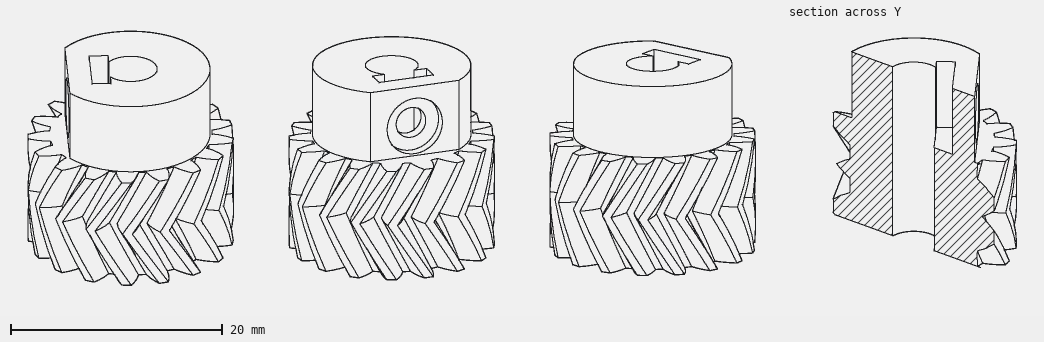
import cadquery as cq
import math

TOOTH_COUNT = 17
TIP_RADIUS = 9.73
MID_RADIUS = 8.8
ROOT_RADIUS = 7.7
TIP_HALF_ANGLE = 2.7
MID_HALF_ANGLE = 5.45
ROOT_HALF_ANGLE = 7.85
FIRST_TOOTH_ANGLE = 3.43
GEAR_HEIGHT = 11.0
HALF_GEAR_HEIGHT = GEAR_HEIGHT / 2
HELIX_ANGLE = 30.0
TWIST_ANGLE = math.degrees(HALF_GEAR_HEIGHT * math.tan(math.radians(HELIX_ANGLE)) / MID_RADIUS)

HUB_RADIUS = 7.5
TOTAL_HEIGHT = 18.0
HUB_HEIGHT = TOTAL_HEIGHT - GEAR_HEIGHT
FLAT_DISTANCE = 6.0
FLAT_DIRECTION = 215.3

BORE_RADIUS = 2.5
BORE_FLAT_DISTANCE = 2.0

SLOT_WIDTH = 5.5
SLOT_THICKNESS = 1.8

SCREW_HEIGHT = 14.0
SCREW_DIAMETER = 3.0
COUNTERBORE_DIAMETER = 5.6
COUNTERBORE_DEPTH = 1.0


def polar(radius, degrees):
    angle = math.radians(degrees)
    return (radius * math.cos(angle), radius * math.sin(angle))


def face_flat(body):
    """Turn a body built toward +X so that it points the way the flat faces."""
    return body.rotate((0, 0, 0), (0, 0, 1), FLAT_DIRECTION)


def block_along_x(start, length, width, bottom, height):
    """Block centred on the X axis, reaching from start to start + length."""
    return cq.Workplane("XY").box(length, width, height, centered=(False, True, False)).translate(
        (start, 0, bottom)
    )


def gear_outline():
    """Closed tooth outline with curved flanks and round tips and roots."""
    pitch = 360.0 / TOOTH_COUNT
    outline = cq.Workplane("XY").moveTo(*polar(ROOT_RADIUS, FIRST_TOOTH_ANGLE - ROOT_HALF_ANGLE))
    for index in range(TOOTH_COUNT):
        center = FIRST_TOOTH_ANGLE + index * pitch
        outline = outline.threePointArc(
            polar(MID_RADIUS, center - MID_HALF_ANGLE), polar(TIP_RADIUS, center - TIP_HALF_ANGLE)
        )
        outline = outline.threePointArc(
            polar(TIP_RADIUS, center), polar(TIP_RADIUS, center + TIP_HALF_ANGLE)
        )
        outline = outline.threePointArc(
            polar(MID_RADIUS, center + MID_HALF_ANGLE), polar(ROOT_RADIUS, center + ROOT_HALF_ANGLE)
        )
        outline = outline.threePointArc(
            polar(ROOT_RADIUS, center + pitch / 2),
            polar(ROOT_RADIUS, center + pitch - ROOT_HALF_ANGLE),
        )
    return outline.close()


def herringbone_gear():
    """Two mirrored helical halves that meet at mid height."""
    lower_half = gear_outline().twistExtrude(HALF_GEAR_HEIGHT, -TWIST_ANGLE)
    upper_half = lower_half.mirror("XY").translate((0, 0, GEAR_HEIGHT))
    return lower_half.union(upper_half)


def hub():
    """Round hub standing on the gear, cut by the clamping flat."""
    cylinder = cq.Workplane("XY").workplane(offset=GEAR_HEIGHT).circle(HUB_RADIUS).extrude(HUB_HEIGHT)
    beyond_flat = block_along_x(FLAT_DISTANCE, HUB_RADIUS, 2 * HUB_RADIUS, GEAR_HEIGHT, HUB_HEIGHT)
    return cylinder.cut(face_flat(beyond_flat))


def bore():
    """D-shaped bore through the whole part, its flat parallel to the hub flat."""
    cylinder = cq.Workplane("XY").circle(BORE_RADIUS).extrude(TOTAL_HEIGHT)
    beyond_flat = block_along_x(BORE_FLAT_DISTANCE, BORE_RADIUS, 2 * BORE_RADIUS, 0, TOTAL_HEIGHT)
    return cylinder.cut(face_flat(beyond_flat))


def nut_slot():
    """Slot behind the flat of the bore, as deep as the hub."""
    slot = block_along_x(BORE_FLAT_DISTANCE, SLOT_THICKNESS, SLOT_WIDTH, GEAR_HEIGHT, HUB_HEIGHT)
    return face_flat(slot)


def screw_hole():
    """Counterbored hole from the hub flat into the nut slot."""
    plane = cq.Plane(origin=(FLAT_DISTANCE, 0, SCREW_HEIGHT), xDir=(0, 1, 0), normal=(-1, 0, 0))
    hole_depth = FLAT_DISTANCE - BORE_FLAT_DISTANCE
    shank = cq.Workplane(plane).circle(SCREW_DIAMETER / 2).extrude(hole_depth)
    counterbore = cq.Workplane(plane).circle(COUNTERBORE_DIAMETER / 2).extrude(COUNTERBORE_DEPTH)
    return face_flat(shank.union(counterbore))


result = herringbone_gear().union(hub()).cut(bore()).cut(nut_slot()).cut(screw_hole())